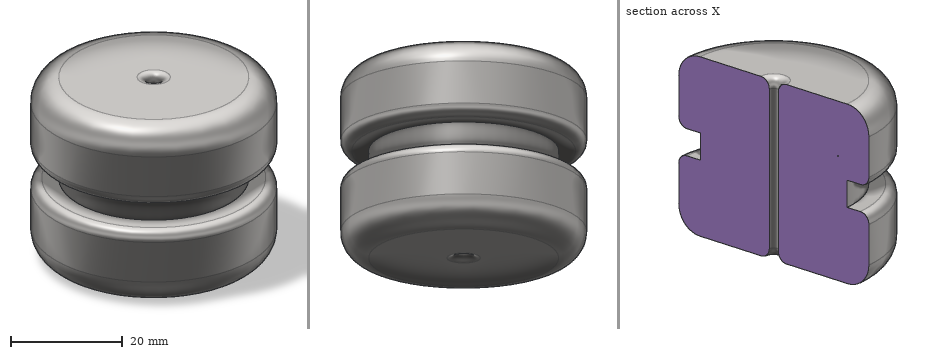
import cadquery as cq

outer_diameter = 44.0
height = 35.0
core_diameter = 34.0
groove_width = 5.2
bore_diameter = 2.0

end_rounding = 5.0
groove_edge_rounding = 2.0
bore_mouth_rounding = 2.0

flange_thickness = (height - groove_width) / 2


def make_flange(base_z, end_face, groove_face):
    """Disc with a large rounding on its end face and a small one beside the groove."""
    disc = cq.Workplane("XY").workplane(offset=base_z).circle(outer_diameter / 2).extrude(flange_thickness)
    disc = disc.faces(end_face).edges().fillet(end_rounding)
    return disc.faces(groove_face).edges().fillet(groove_edge_rounding)


def drill_bore(body):
    """Central through bore with a rounded mouth at both ends."""
    bore = cq.Workplane("XY").circle(bore_diameter / 2).extrude(height)
    mouth_edges = cq.selectors.RadiusNthSelector(0)
    return body.cut(bore).faces("<Z or >Z").edges(mouth_edges).fillet(bore_mouth_rounding)


lower_flange = make_flange(0, "<Z", ">Z")
upper_flange = make_flange(height - flange_thickness, ">Z", "<Z")
core = (
    cq.Workplane("XY")
    .workplane(offset=flange_thickness)
    .circle(core_diameter / 2)
    .extrude(groove_width)
)
spool = lower_flange.union(core).union(upper_flange)

result = drill_bore(spool)